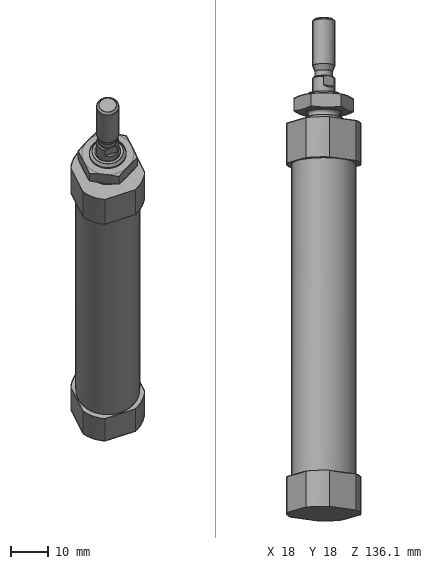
import cadquery as cq
import math

TOTAL_HEIGHT = 136.1
REAR_CAP_TOP = 10.0
HEAD_BOTTOM = 96.2
HEAD_TOP = 107.2
GROOVE_BOTTOM = 108.9
COLLAR_TOP = 115.5

CAP_WIDTH = 18.0
CAP_CORNER_DIAMETER = 20.0
TUBE_DIAMETER = 17.3
COLLAR_DIAMETER = 10.0
GROOVE_DIAMETER = 8.5
GROOVE_RADIUS = (COLLAR_DIAMETER - GROOVE_DIAMETER) / 2
COLLAR_TIP_DIAMETER = 8.5
BORE_MOUTH_DIAMETER = 7.0

NUT_BOTTOM = 110.5
NUT_HEIGHT = 4.0
NUT_ACROSS_FLATS = 14.0
NUT_CHAMFER_ANGLE = 15.0

ROD_DIAMETER = 6.0
THREAD_TIP_DIAMETER = 4.8
THREAD_CHAMFER = 0.5
THREAD_BOTTOM = 123.3
NECK_DIAMETER = 4.8
NECK_TOP = 121.7
NECK_BOTTOM = 120.2
SHOULDER_CHAMFER = 0.4
FLAT_WIDTH = 4.9
FLAT_BOTTOM = 116.9
ROD_BOTTOM = HEAD_BOTTOM


def revolve_profile(points):
    """Revolve a closed (radius, height) profile around the Z axis."""
    return cq.Workplane("XZ").polyline(points).close().revolve(360, (0, 0), (0, 1))


def cylinder(diameter, bottom, top):
    return cq.Workplane("XY").workplane(offset=bottom).circle(diameter / 2).extrude(top - bottom)


def make_cap(bottom, top):
    """Square block whose four corners are rounded about the cylinder axis."""
    height = top - bottom
    block = cq.Workplane("XY").workplane(offset=bottom).rect(CAP_WIDTH, CAP_WIDTH).extrude(height)
    return block.intersect(cylinder(CAP_CORNER_DIAMETER, bottom, top))


def make_collar():
    """Collar on the head, with a half-round groove below the thread and a chamfered tip."""
    outer = COLLAR_DIAMETER / 2
    tip = COLLAR_TIP_DIAMETER / 2
    profile = (
        cq.Workplane("XZ")
        .moveTo(0, HEAD_TOP)
        .lineTo(outer, HEAD_TOP)
        .lineTo(outer, GROOVE_BOTTOM)
        .threePointArc(
            (GROOVE_DIAMETER / 2, GROOVE_BOTTOM + GROOVE_RADIUS),
            (outer, GROOVE_BOTTOM + 2 * GROOVE_RADIUS),
        )
        .lineTo(outer, COLLAR_TOP - (outer - tip))
        .lineTo(tip, COLLAR_TOP)
        .lineTo(0, COLLAR_TOP)
        .close()
    )
    return profile.revolve(360, (0, 0), (0, 1))


def make_rod_bore():
    """Bore for the rod, with a 45 degree chamfer at its mouth."""
    radius = ROD_DIAMETER / 2
    mouth = BORE_MOUTH_DIAMETER / 2
    return revolve_profile([
        (0, ROD_BOTTOM),
        (radius, ROD_BOTTOM),
        (radius, COLLAR_TOP - (mouth - radius)),
        (mouth, COLLAR_TOP),
        (0, COLLAR_TOP),
    ])


def make_housing():
    tube = cylinder(TUBE_DIAMETER, REAR_CAP_TOP, HEAD_BOTTOM)
    body = make_cap(0, REAR_CAP_TOP).union(tube).union(make_cap(HEAD_BOTTOM, HEAD_TOP))
    return body.union(make_collar()).cut(make_rod_bore())


def make_nut():
    """Hexagon nut with both ends of its corners chamfered."""
    corner_diameter = NUT_ACROSS_FLATS / math.cos(math.pi / 6)
    corner = corner_diameter / 2
    flat = NUT_ACROSS_FLATS / 2
    chamfer = (corner - flat) * math.tan(math.radians(NUT_CHAMFER_ANGLE))
    top = NUT_BOTTOM + NUT_HEIGHT
    hexagon = cq.Workplane("XY").workplane(offset=NUT_BOTTOM).polygon(6, corner_diameter).extrude(NUT_HEIGHT)
    envelope = revolve_profile([
        (0, NUT_BOTTOM),
        (flat, NUT_BOTTOM),
        (corner, NUT_BOTTOM + chamfer),
        (corner, top - chamfer),
        (flat, top),
        (0, top),
    ])
    return hexagon.intersect(envelope).cut(cylinder(COLLAR_DIAMETER, NUT_BOTTOM, top))


def make_flat_cutter(side):
    """Wedge-ended cutter for one wrench flat; side is -1 or +1 along X."""
    inner = side * FLAT_WIDTH / 2
    outer = side * ROD_DIAMETER / 2
    slope = (ROD_DIAMETER - FLAT_WIDTH) / 2
    profile = [
        (inner, NECK_BOTTOM),
        (inner, FLAT_BOTTOM + slope),
        (outer, FLAT_BOTTOM),
        (outer, NECK_BOTTOM),
    ]
    return cq.Workplane("XZ").polyline(profile).close().extrude(ROD_DIAMETER / 2, both=True)


def make_rod():
    radius = ROD_DIAMETER / 2
    neck = NECK_DIAMETER / 2
    rod = revolve_profile([
        (0, ROD_BOTTOM),
        (radius, ROD_BOTTOM),
        (radius, NECK_BOTTOM - SHOULDER_CHAMFER),
        (radius - SHOULDER_CHAMFER, NECK_BOTTOM),
        (neck, NECK_BOTTOM),
        (neck, NECK_TOP),
        (radius, THREAD_BOTTOM),
        (radius, TOTAL_HEIGHT - THREAD_CHAMFER),
        (THREAD_TIP_DIAMETER / 2, TOTAL_HEIGHT),
        (0, TOTAL_HEIGHT),
    ])
    for side in (-1, 1):
        rod = rod.cut(make_flat_cutter(side))
    return rod


housing = make_housing()
nut = make_nut()
rod = make_rod()
result = cq.Compound.makeCompound([housing.val(), nut.val(), rod.val()])